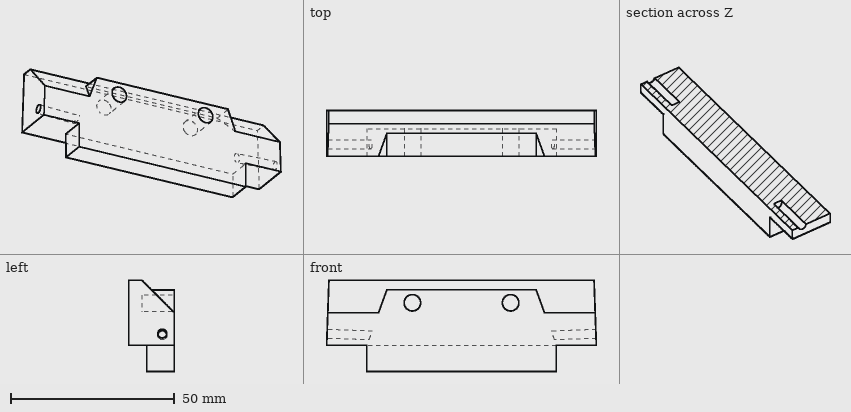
import cadquery as cq
import math

length = 82.5
depth = 14.0
height = 28.0

bevel = 10.0
end_lean_angle = 2.0

core_length = 58.0
core_depth = 8.5
tongue_height = 8.0
pad_top_z = 25.0
pad_flank_angle = 20.0

face_hole_diameter = 5.0
face_hole_spacing = 30.0
face_hole_z = 21.0
face_hole_depth = 10.0

end_hole_diameter = 2.7
end_hole_setback = 3.7
end_hole_z = 11.6
end_hole_reach = 16.5


def extrude_front_outline(points, thickness):
    """Extrude an XZ outline from the front face (Y = 0) toward +Y."""
    return cq.Workplane("XZ").polyline(points).close().extrude(-thickness)


def make_body():
    half_base = length / 2
    end_lean = (height - tongue_height) * math.tan(math.radians(end_lean_angle))
    half_top = half_base - end_lean
    body = extrude_front_outline(
        [
            (-half_base, tongue_height),
            (half_base, tongue_height),
            (half_top, height),
            (-half_top, height),
        ],
        depth,
    )
    bevel_cutter = (
        cq.Workplane("YZ")
        .polyline([(0, height - bevel), (bevel, height), (0, height)])
        .close()
        .extrude(length / 2, both=True)
    )
    return body.cut(bevel_cutter)


def make_core():
    half_base = core_length / 2
    flank_inset = (pad_top_z - tongue_height) * math.tan(math.radians(pad_flank_angle))
    half_top = half_base - flank_inset
    return extrude_front_outline(
        [
            (-half_base, 0),
            (half_base, 0),
            (half_base, tongue_height),
            (half_top, pad_top_z),
            (-half_top, pad_top_z),
            (-half_base, tongue_height),
        ],
        core_depth,
    )


def make_face_hole(side):
    center = cq.Vector(side * face_hole_spacing / 2, 0, face_hole_z)
    hole = cq.Solid.makeCylinder(
        face_hole_diameter / 2, face_hole_depth, center, cq.Vector(0, 1, 0)
    )
    return cq.Workplane(hole)


def make_end_hole(side):
    lean = math.radians(end_lean_angle)
    lean_at_hole = (end_hole_z - tongue_height) * math.tan(lean)
    center = cq.Vector(side * (length / 2 - lean_at_hole), end_hole_setback, end_hole_z)
    inward = cq.Vector(-side * math.cos(lean), 0, -math.sin(lean))
    hole = cq.Solid.makeCylinder(end_hole_diameter / 2, end_hole_reach, center, inward)
    return cq.Workplane(hole)


sides = (-1, 1)

body = make_body()
for side in sides:
    body = body.cut(make_end_hole(side))

result = body.union(make_core())
for side in sides:
    result = result.cut(make_face_hole(side))